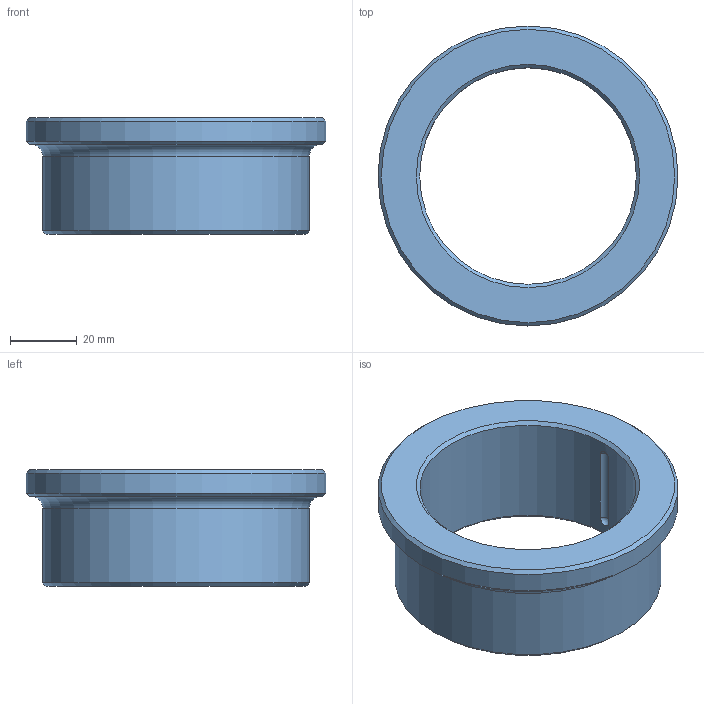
import cadquery as cq
import math

total_height = 35.0
bore_radius = 65.0 / 2
sleeve_radius = 80.0 / 2
flange_radius = 90.0 / 2
flange_thickness = 8.0
flange_underside = total_height - flange_thickness

chamfer = 1.0
neck_fillet = 3.5

groove_radius = 1.75
groove_depth = 1.5
groove_end_margin = 4.0
groove_center_x = bore_radius + groove_depth - groove_radius
groove_low_center = groove_end_margin + groove_radius
groove_high_center = total_height - groove_end_margin - groove_radius


def flanged_sleeve():
    """Revolve the wall section, with its chamfers and neck fillet, about Z."""
    arc_center_x = sleeve_radius + neck_fillet
    arc_center_z = flange_underside - neck_fillet
    arc_offset = neck_fillet * math.sqrt(0.5)
    neck_middle = (arc_center_x - arc_offset, arc_center_z + arc_offset)

    section = (
        cq.Workplane("XZ")
        .moveTo(bore_radius, chamfer)
        .lineTo(bore_radius + chamfer, 0)
        .lineTo(sleeve_radius - chamfer, 0)
        .lineTo(sleeve_radius, chamfer)
        .lineTo(sleeve_radius, arc_center_z)
        .threePointArc(neck_middle, (arc_center_x, flange_underside))
        .lineTo(flange_radius - chamfer, flange_underside)
        .lineTo(flange_radius, flange_underside + chamfer)
        .lineTo(flange_radius, total_height - chamfer)
        .lineTo(flange_radius - chamfer, total_height)
        .lineTo(bore_radius + chamfer, total_height)
        .lineTo(bore_radius, total_height - chamfer)
        .close()
    )
    return section.revolve(360, (0, 0, 0), (0, 1, 0))


def bore_groove():
    """Upright round bar with ball ends, sunk into the bore wall by the groove depth."""
    bar = (
        cq.Workplane("XY", origin=(groove_center_x, 0, groove_low_center))
        .circle(groove_radius)
        .extrude(groove_high_center - groove_low_center)
    )
    for center_z in (groove_low_center, groove_high_center):
        ball = cq.Workplane("XY", origin=(groove_center_x, 0, center_z)).sphere(groove_radius)
        bar = bar.union(ball)
    return bar


result = flanged_sleeve().cut(bore_groove())